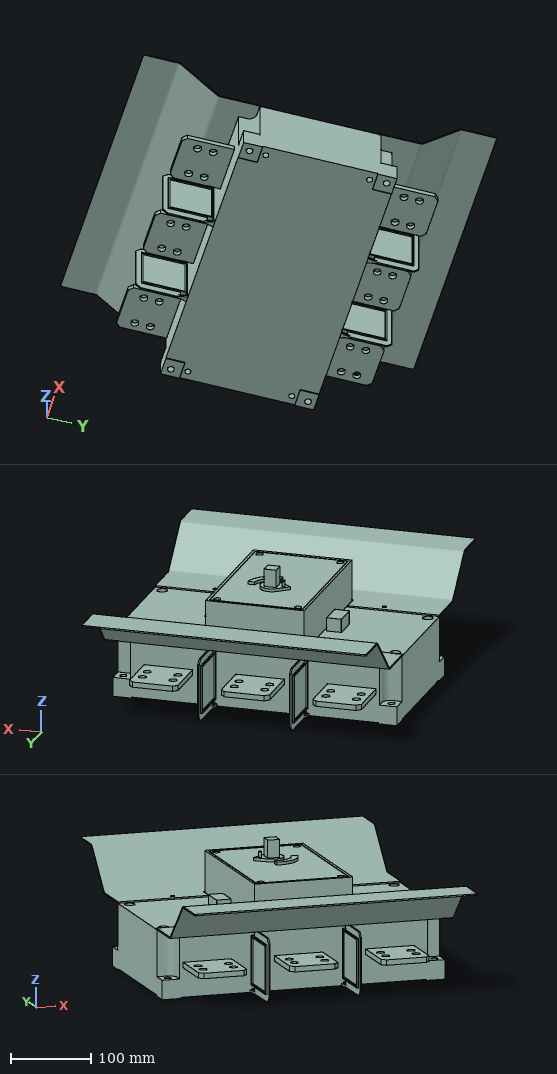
import cadquery as cq
import math

width_x = 372.0
length_y = 460.0
height_z = 166.0

base_depth = 199.5
base_top = 85.5
pad_height = 1.5
pad_size = 25.0
foot_top = 25.5
corner_cut_x = 23.0
corner_cut_y = 21.0
corner_cut_radius = 10.0
foot_hole_dia = 8.5
foot_hole_inset = 10.5
bolt_hole_dia = 7.5
bolt_head_dia = 13.0
bolt_head_depth = 23.0
bolt_x = 174.0
bolt_y = 67.5

phase_count = 3
phase_pitch = 120.0
phase_centre_x = -7.0
side_reach = 166.5
terminal_width = 63.5
terminal_bottom = 39.5
terminal_thickness = 7.0
terminal_chamfer = 5.5
terminal_hole_dia = 9.5
terminal_hole_pitch_x = 40.0
terminal_hole_pitch_y = 20.2
terminal_hole_edge = 22.0

box_width = 129.0
box_top = 140.0
panel_side_rim = 3.5
panel_end_rim = 4.5
panel_recess = 0.5
screw_x = 53.0
screw_y = 88.5
screw_head_dia = 8.7
screw_head_depth = 7.0
screw_hole_dia = 5.0
screw_hole_depth = 11.5

dial_y = 28.0
dial_radius = 15.0
dial_thickness = 3.0
pointer_reach = 24.0
knob_side = 15.5
pin_x = -15.0
pin_width = 3.0
pin_length = 6.5
pin_top = 150.5
arc_outer_radius = 33.0
arc_inner_radius = 24.5
arc_end_offset = 4.0

latch_x_min = -87.5
latch_x_max = -68.0
latch_width = 33.5
latch_top = 103.0
latch_chamfer = 1.0
recess_x = 85.5
recess_size_x = 17.5
recess_size_y = 19.5
recess_depth = 2.8
recess_taper = 45

sheet = 2.0
baffle_inner_y = 77.0
baffle_top = 138.0
baffle_bend_y = 132.5
baffle_bend_angle = 45
baffle_bend_radius = 5.0
baffle_corner_radius = 2.0
box_clearance = 2.0
baffle_hole_x = 111.0
baffle_hole_y = 87.5
baffle_hole_dia = 5.0

barrier_thickness = 2.0
barrier_bottom = pad_height
barrier_top = 83.5
barrier_chamfer = 6.5
notch_length = 8.7
upper_notch = (75.0, 79.5)
lower_notch = (6.5, 11.5)
frame_outer_y = 159.5
frame_gap = 1.5
frame_height = 2.0
frame_width = 2.0
wedge_length = 16.0
wedge_half_width = 3.5
wedge_top = 4.5

half_width = width_x / 2
half_depth = base_depth / 2
sides = (-1, 1)
phase_xs = [phase_centre_x + (i - (phase_count - 1) / 2) * phase_pitch for i in range(phase_count)]
barrier_xs = [(left + right) / 2 for left, right in zip(phase_xs, phase_xs[1:])]


def block(x0, x1, y0, y1, z0, z1):
    """Box between two opposite corners."""
    return cq.Workplane("XY").box(x1 - x0, y1 - y0, z1 - z0, centered=False).translate((x0, y0, z0))


def drill(points, diameter, z0, z1):
    """Vertical cylinders used to cut holes."""
    return cq.Workplane("XY").workplane(offset=z0).pushPoints(points).circle(diameter / 2).extrude(z1 - z0)


def four_corners(x, y):
    return [(sx * x, sy * y) for sx in sides for sy in sides]


def make_base():
    """Base block with corner pads, open bolting corners and corner bolt holes."""
    base = block(-half_width, half_width, -half_depth, half_depth, pad_height, base_top)
    for x, y in four_corners(half_width - pad_size / 2, half_depth - pad_size / 2):
        base = base.union(
            cq.Workplane("XY").center(x, y).rect(pad_size, pad_size).extrude(pad_height)
        )
    for x, y in four_corners(half_width, half_depth):
        corner_cut = (
            cq.Workplane("XY")
            .workplane(offset=foot_top)
            .center(x, y)
            .rect(2 * corner_cut_x, 2 * corner_cut_y)
            .extrude(base_top - foot_top)
            .edges("|Z")
            .fillet(corner_cut_radius)
        )
        base = base.cut(corner_cut)
    foot_holes = four_corners(half_width - foot_hole_inset, half_depth - foot_hole_inset)
    bolts = four_corners(bolt_x, bolt_y)
    base = base.cut(drill(foot_holes, foot_hole_dia, 0, foot_top))
    base = base.cut(drill(bolts, bolt_hole_dia, 0, base_top))
    return base.cut(drill(bolts, bolt_head_dia, base_top - bolt_head_depth, base_top))


def make_terminal(x, side):
    """Flat terminal lug with chamfered outer corners and four holes."""
    length = side_reach - half_depth
    lug = (
        cq.Workplane("XY")
        .box(terminal_width, length, terminal_thickness, centered=(True, False, False))
        .edges("|Z and >Y")
        .chamfer(terminal_chamfer)
    )
    outer_row = length - terminal_hole_edge
    holes = [
        (sx * terminal_hole_pitch_x / 2, y)
        for sx in sides
        for y in (outer_row, outer_row - terminal_hole_pitch_y)
    ]
    lug = lug.cut(drill(holes, terminal_hole_dia, 0, terminal_thickness))
    lug = lug.translate((x, half_depth, terminal_bottom))
    return lug if side > 0 else lug.mirror("XZ")


def make_box():
    """Mechanism box with a shallow recessed panel and four screw holes."""
    box = block(-box_width / 2, box_width / 2, -half_depth, half_depth, base_top, box_top)
    panel = (
        cq.Workplane("XY")
        .workplane(offset=box_top - panel_recess)
        .rect(box_width - 2 * panel_side_rim, base_depth - 2 * panel_end_rim)
        .extrude(panel_recess)
    )
    screws = four_corners(screw_x, screw_y)
    box = box.cut(panel)
    box = box.cut(drill(screws, screw_head_dia, box_top - screw_head_depth, box_top))
    return box.cut(drill(screws, screw_hole_dia, box_top - screw_hole_depth, box_top))


def make_knob():
    """Square knob on a teardrop pointer plate, with its pin and position arc."""
    panel_top = box_top - panel_recess
    plate_height = dial_thickness + panel_recess
    tangent_angle = math.acos(dial_radius / pointer_reach)
    tangent_x = -dial_radius * math.cos(tangent_angle)
    tangent_y = dial_radius * math.sin(tangent_angle)
    face = cq.Workplane("XY").workplane(offset=panel_top)
    pointer = (
        face.moveTo(-pointer_reach, 0)
        .lineTo(tangent_x, -tangent_y)
        .threePointArc((dial_radius, 0), (tangent_x, tangent_y))
        .close()
        .extrude(plate_height)
    )
    knob = face.rect(knob_side, knob_side).extrude(height_z - panel_top)
    pin = face.center(pin_x, 0).ellipse(pin_width / 2, pin_length / 2).extrude(pin_top - panel_top)
    ring = face.circle(arc_outer_radius).circle(arc_inner_radius).extrude(plate_height)
    arc_window = block(
        -arc_end_offset,
        arc_outer_radius,
        -arc_outer_radius,
        -arc_end_offset,
        panel_top,
        panel_top + plate_height,
    )
    arc = ring.intersect(arc_window)
    return pointer.union(knob).union(pin).union(arc).translate((0, dial_y, 0))


def make_latch():
    """Small block standing on the base beside the box."""
    latch = block(latch_x_min, latch_x_max, -latch_width / 2, latch_width / 2, base_top, latch_top)
    return latch.edges("|Z and <X").chamfer(latch_chamfer)


def make_recess():
    """Tapered recess cut into the base top on the other side of the box."""
    return (
        cq.Workplane("XY")
        .workplane(offset=base_top)
        .center(recess_x, 0)
        .rect(recess_size_x, recess_size_y)
        .extrude(-recess_depth, taper=recess_taper)
    )


def make_switch():
    switch = make_base().union(make_box()).union(make_knob()).union(make_latch())
    for side in sides:
        for x in phase_xs:
            switch = switch.union(make_terminal(x, side))
    return switch.cut(make_recess())


def make_baffle(side):
    """Bent sheet on the base top: flat foot, sloped rise and flat outer flange."""
    rise = baffle_top - sheet - base_top
    bend_angle = math.radians(baffle_bend_angle)
    bend_shift = sheet * math.tan(bend_angle / 2)
    upper_bend_y = baffle_bend_y + rise / math.tan(bend_angle)
    profile = [
        (baffle_inner_y, base_top),
        (baffle_bend_y, base_top),
        (upper_bend_y, baffle_top - sheet),
        (length_y / 2, baffle_top - sheet),
        (length_y / 2, baffle_top),
        (upper_bend_y - bend_shift, baffle_top),
        (baffle_bend_y - bend_shift, base_top + sheet),
        (baffle_inner_y, base_top + sheet),
    ]
    inside_bends = [profile[2], profile[6]]
    outside_bends = [profile[1], profile[5]]
    baffle = cq.Workplane("YZ").polyline(profile).close().extrude(half_width, both=True)

    def bend_edges(points):
        picked = [cq.selectors.NearestToPointSelector((0, y, z)) for y, z in points]
        return baffle.edges(picked[0] + picked[1])

    baffle = bend_edges(inside_bends).fillet(baffle_bend_radius)
    baffle = bend_edges(outside_bends).fillet(baffle_bend_radius + sheet)
    baffle = baffle.edges("|Z and >Y").fillet(baffle_corner_radius)
    notch_half = box_width / 2 + box_clearance
    sheet_top = base_top + sheet
    baffle = baffle.cut(block(-notch_half, notch_half, baffle_inner_y, half_depth, base_top, sheet_top))
    holes = [(sx * baffle_hole_x, baffle_hole_y) for sx in sides]
    baffle = baffle.cut(drill(holes, baffle_hole_dia, base_top, sheet_top))
    return baffle if side > 0 else baffle.mirror("XZ")


def make_barrier(x, side):
    """Thin plate between phases, with a raised frame on both faces and a wedge at its foot."""
    half_plate = barrier_thickness / 2
    plate = (
        block(-half_plate, half_plate, half_depth, side_reach, barrier_bottom, barrier_top)
        .edges("|X and >Y")
        .chamfer(barrier_chamfer)
    )
    for z0, z1 in (upper_notch, lower_notch):
        plate = plate.cut(block(-half_plate, half_plate, half_depth, half_depth + notch_length, z0, z1))
    frame_half = half_plate + frame_height
    y0 = half_depth + frame_gap
    y1 = frame_outer_y
    z0 = lower_notch[1]
    z1 = upper_notch[0]
    frame = block(-frame_half, frame_half, y0, y1, z0, z1)
    opening = block(
        -frame_half,
        frame_half,
        y0 + frame_width,
        y1 - frame_width,
        z0 + frame_width,
        z1 - frame_width,
    )
    frame = frame.cut(opening)
    wedge = (
        cq.Workplane("XY")
        .workplane(offset=barrier_bottom)
        .polyline(
            [
                (-wedge_half_width, half_depth),
                (wedge_half_width, half_depth),
                (0, half_depth + wedge_length),
            ]
        )
        .close()
        .extrude(wedge_top - barrier_bottom)
    )
    barrier = plate.union(frame).union(wedge).translate((x, 0, 0))
    return barrier if side > 0 else barrier.mirror("XZ")


switch = make_switch()
baffles = [make_baffle(side) for side in sides]
barriers = [make_barrier(x, side) for x in barrier_xs for side in sides]

result = cq.Compound.makeCompound(
    [
        switch.val(),
        *[baffle.val() for baffle in baffles],
        *[barrier.val() for barrier in barriers],
    ]
)